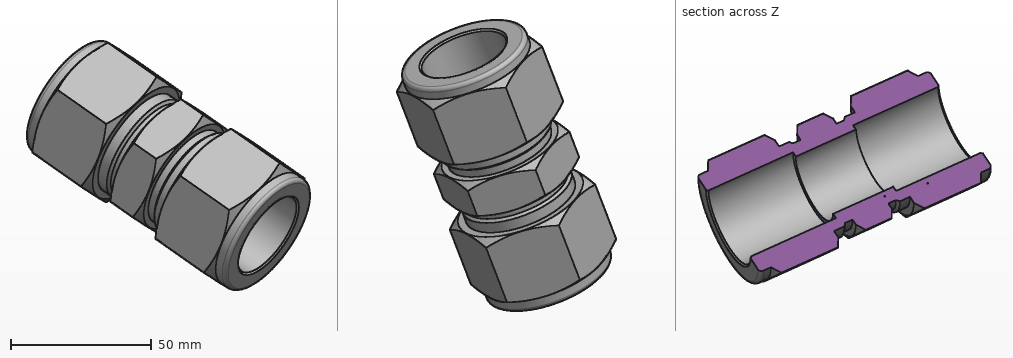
import cadquery as cq
import math

length = 94.55

nut_across_flats = 47.7
nut_hex_length = 27.4
collar_length = 4.5
collar_diameter = 47.4
collar_fillet = 1.5

body_across_flats = 44.4
body_hex_length = 14.75
body_face_diameter = 44.1
neck_diameter = 39.1
shoulder_diameter = 41.5
shoulder_length = 5.0
shoulder_cone_length = 0.9

hex_chamfer_angle = 30.0

bore_diameter = 27.8
socket_diameter = 32.0
socket_bevel = 0.7
socket_depth = 35.0

nut_hex_inner_x = length / 2 - collar_length - nut_hex_length
shoulder_inner_x = nut_hex_inner_x - shoulder_length


def rod(diameter, start_x, end_x):
    """Cylinder along the X axis."""
    return cq.Workplane("YZ", origin=(start_x, 0, 0)).circle(diameter / 2).extrude(end_x - start_x)


def chamfered_hex(across_flats, face_diameter, start_x, end_x):
    """Hexagonal prism with corners on the Y axis, its ends turned to a cone."""
    corner_radius = across_flats / math.sqrt(3)
    face_radius = face_diameter / 2
    cone_length = (corner_radius - face_radius) * math.tan(math.radians(hex_chamfer_angle))
    prism = (
        cq.Workplane("YZ", origin=(start_x, 0, 0))
        .polygon(6, 2 * corner_radius)
        .extrude(end_x - start_x)
    )
    turned_envelope = (
        cq.Workplane("XY")
        .moveTo(start_x, 0)
        .lineTo(start_x, face_radius)
        .lineTo(start_x + cone_length, corner_radius)
        .lineTo(end_x - cone_length, corner_radius)
        .lineTo(end_x, face_radius)
        .lineTo(end_x, 0)
        .close()
        .revolve(360, (0, 0, 0), (1, 0, 0))
    )
    return prism.intersect(turned_envelope)


def right_nut():
    """Nut with a rounded collar on its outer end."""
    collar = rod(collar_diameter, nut_hex_inner_x, length / 2).faces(">X").edges().fillet(collar_fillet)
    hexagon = chamfered_hex(
        nut_across_flats, collar_diameter, nut_hex_inner_x, nut_hex_inner_x + nut_hex_length
    )
    return collar.union(hexagon)


def right_shoulder():
    """Raised ring beside the nut, coned down to the neck on its inner side."""
    return (
        cq.Workplane("XY")
        .moveTo(shoulder_inner_x, 0)
        .lineTo(shoulder_inner_x, neck_diameter / 2)
        .lineTo(shoulder_inner_x + shoulder_cone_length, shoulder_diameter / 2)
        .lineTo(nut_hex_inner_x, shoulder_diameter / 2)
        .lineTo(nut_hex_inner_x, 0)
        .close()
        .revolve(360, (0, 0, 0), (1, 0, 0))
    )


def right_socket():
    """Tube socket with a flat seat and a bevelled mouth, as a solid to cut away."""
    end_x = length / 2
    pocket = rod(socket_diameter, end_x - socket_depth, end_x)
    mouth = (
        cq.Workplane("YZ", origin=(end_x - socket_bevel, 0, 0))
        .circle(socket_diameter / 2)
        .workplane(offset=socket_bevel)
        .circle(socket_diameter / 2 + socket_bevel)
        .loft()
    )
    return pocket.union(mouth)


def both_ends(right_feature):
    """The feature together with its mirror image at the other end."""
    return right_feature.union(right_feature.mirror("YZ"))


neck = rod(neck_diameter, -nut_hex_inner_x, nut_hex_inner_x)
body_hex = chamfered_hex(
    body_across_flats, body_face_diameter, -body_hex_length / 2, body_hex_length / 2
)

result = neck.union(body_hex)
result = result.union(both_ends(right_shoulder()))
result = result.union(both_ends(right_nut()))
result = result.cut(rod(bore_diameter, -length / 2, length / 2))
result = result.cut(both_ends(right_socket()))